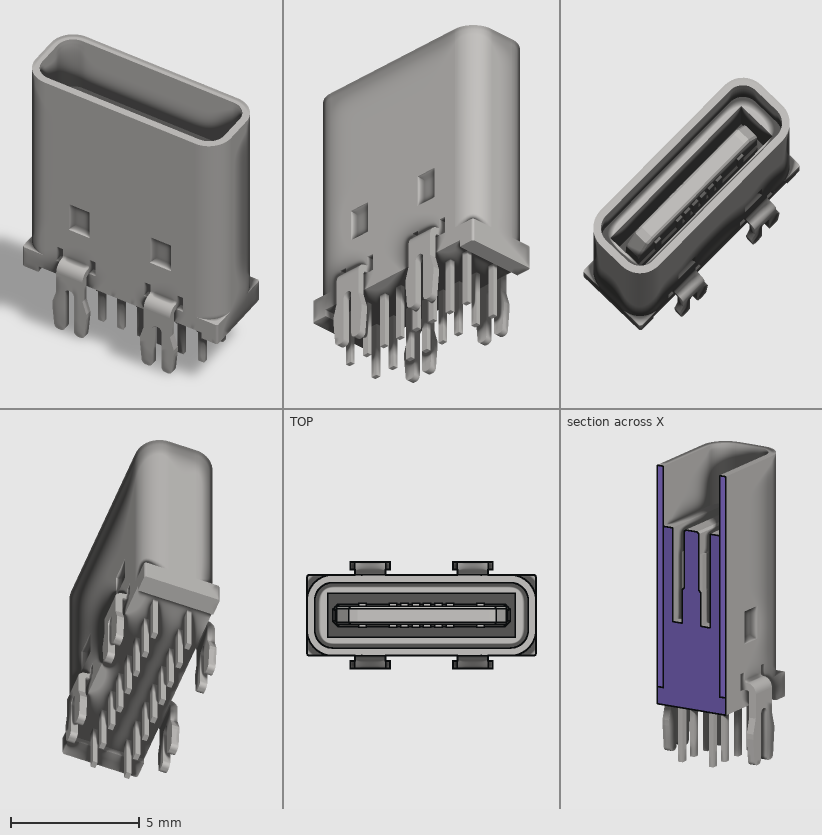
import cadquery as cq

TOTAL_HEIGHT = 12.0
LEDGE_LEVEL = 9.56
POCKET_FLOOR = 5.76
BASE_TOP = 3.0
BASE_UNDERSIDE = 2.3
FOOT_BOTTOM = 2.02

SHELL_LENGTH = 8.94
SHELL_WIDTH = 3.15
SHELL_CORNER = 1.01
SHEET = 0.3

DIMPLE_X = 1.86
DIMPLE_Z = 5.52
DIMPLE_LENGTH = 0.95
DIMPLE_HEIGHT = 1.33
DIMPLE_DEPTH = 0.19

LEG_X = 2.0
LEG_WIDTH = 1.2
LEG_SPAN = 4.16
LEG_TOP = BASE_TOP + SHEET
INNER_BEND = (LEG_SPAN - SHELL_WIDTH - 2 * SHEET) / 4
OUTER_BEND = INNER_BEND + SHEET
BARB_WIDTH = 1.56
BARB_START = 1.91
BARB_TOP = 1.31
BARB_BOTTOM = 1.09
TIP_WIDTH = 1.35
TIP_RADIUS = 0.19
SPLIT_WIDTH = 0.42
SPLIT_TOP = 2.2
RELIEF_WIDTH = 0.3
RELIEF_TOP = 3.72

BASE_CORNER = 0.1
FOOT_LENGTH = 0.73
POCKET_LENGTH = 7.32
POCKET_WIDTH = 1.72

TONGUE_LENGTH = 6.62
TONGUE_THICKNESS = 0.7
TONGUE_CHAMFER = 0.08
TONGUE_TOP = LEDGE_LEVEL
LEFT_SHALLOW_X = -2.5
LEFT_STEEP_X = -2.83
LEFT_SHALLOW_DROP = 0.08
LEFT_DROP = 1.08
RIGHT_SHALLOW_X = 2.66
RIGHT_STEEP_X = 2.92
RIGHT_SHALLOW_DROP = 0.04
RIGHT_DROP = 0.66
COLLAR_LENGTH = 6.91
COLLAR_THICKNESS = 0.88
COLLAR_CORNER = 0.2
COLLAR_TOP = 7.2
COLLAR_SLOPE = (COLLAR_THICKNESS - TONGUE_THICKNESS) / 2

INNER_CONTACTS_PER_SIDE = 3
CONTACT_PITCH = 0.45
CONTACT_WIDTH = 0.29
CONTACT_SPAN = 0.92
CONTACT_TOP = 8.64
OUTER_CONTACT_X = 2.3

PIN_OFFSETS = (0.45, 1.35, 2.3, 3.25)
PIN_ROW_Y = 0.71
PIN_WIDTH = 0.28
PIN_THICKNESS = 0.2


def block(x_size, y_size, z_low, z_high, x=0.0, y=0.0):
    """Box centred on (x, y) between two levels."""
    solid = cq.Workplane("XY").box(x_size, y_size, z_high - z_low, (True, True, False))
    return solid.translate((x, y, z_low))


def rounded_block(x_size, y_size, z_low, z_high, radius):
    """Block with rounded vertical edges."""
    return block(x_size, y_size, z_low, z_high).edges("|Z").fillet(radius)


def cavity(z_low, z_high):
    """Space inside the shell wall."""
    length = SHELL_LENGTH - 2 * SHEET
    width = SHELL_WIDTH - 2 * SHEET
    return rounded_block(length, width, z_low, z_high, SHELL_CORNER - SHEET)


def leg():
    """Split, barbed leg on the -Y side at X = 0, curving out of the wall and then down."""
    outer_y = -LEG_SPAN / 2
    wall_y = -SHELL_WIDTH / 2
    root_y = wall_y + SHEET / 2
    strip = (
        cq.Workplane("YZ")
        .moveTo(root_y, LEG_TOP + INNER_BEND)
        .lineTo(wall_y, LEG_TOP + INNER_BEND)
        .radiusArc((wall_y - INNER_BEND, LEG_TOP), INNER_BEND)
        .radiusArc((outer_y, LEG_TOP - OUTER_BEND), -OUTER_BEND)
        .lineTo(outer_y, 0)
        .lineTo(outer_y + SHEET, 0)
        .lineTo(outer_y + SHEET, LEG_TOP - OUTER_BEND)
        .radiusArc((outer_y + OUTER_BEND, LEG_TOP - SHEET), INNER_BEND)
        .lineTo(root_y, LEG_TOP - SHEET)
        .close()
        .extrude(BARB_WIDTH / 2, both=True)
    )
    split_radius = SPLIT_WIDTH / 2
    outline = (
        cq.Workplane("XZ")
        .moveTo(-LEG_WIDTH / 2, RELIEF_TOP)
        .lineTo(-LEG_WIDTH / 2, BARB_START)
        .lineTo(-BARB_WIDTH / 2, BARB_TOP)
        .lineTo(-BARB_WIDTH / 2, BARB_BOTTOM)
        .lineTo(-TIP_WIDTH / 2, 0)
        .lineTo(-split_radius, 0)
        .lineTo(-split_radius, SPLIT_TOP - split_radius)
        .threePointArc((0, SPLIT_TOP), (split_radius, SPLIT_TOP - split_radius))
        .lineTo(split_radius, 0)
        .lineTo(TIP_WIDTH / 2, 0)
        .lineTo(BARB_WIDTH / 2, BARB_BOTTOM)
        .lineTo(BARB_WIDTH / 2, BARB_TOP)
        .lineTo(LEG_WIDTH / 2, BARB_START)
        .lineTo(LEG_WIDTH / 2, RELIEF_TOP)
        .close()
        .extrude(LEG_SPAN)
        .faces("<Z")
        .edges("|Y")
        .fillet(TIP_RADIUS)
    )
    return strip.intersect(outline)


def reliefs():
    """Slots through the -Y wall on both sides of a leg at X = 0."""
    offset = (LEG_WIDTH + RELIEF_WIDTH) / 2
    wall_y = (SHEET - SHELL_WIDTH) / 2
    left = block(RELIEF_WIDTH, SHEET, BASE_TOP, RELIEF_TOP, -offset, wall_y)
    right = block(RELIEF_WIDTH, SHEET, BASE_TOP, RELIEF_TOP, offset, wall_y)
    return left.union(right)


def dimple():
    """Blind recess in the -Y wall at X = 0, with rounded floor edges."""
    reach = 2 * DIMPLE_DEPTH
    floor_y = -SHELL_WIDTH / 2 + DIMPLE_DEPTH
    return (
        cq.Workplane("XY")
        .box(DIMPLE_LENGTH, reach, DIMPLE_HEIGHT)
        .faces(">Y")
        .edges()
        .fillet(DIMPLE_DEPTH)
        .translate((0, floor_y - reach / 2, DIMPLE_Z))
    )


def on_both_walls(shape, x):
    """Copies of a -Y wall feature at -x and x, repeated on the +Y wall."""
    pair = shape.translate((-x, 0, 0)).union(shape.translate((x, 0, 0)))
    return pair.union(pair.mirror("XZ"))


def make_shell():
    """Sheet-metal tube with dimples, relief slots and four legs."""
    tube = rounded_block(SHELL_LENGTH, SHELL_WIDTH, BASE_TOP, TOTAL_HEIGHT, SHELL_CORNER)
    tube = tube.cut(cavity(BASE_TOP, TOTAL_HEIGHT))
    tube = tube.cut(on_both_walls(dimple(), DIMPLE_X))
    tube = tube.cut(on_both_walls(reliefs(), LEG_X))
    tube = tube.union(on_both_walls(leg(), LEG_X))
    return tube.solids()


def base():
    """Rectangular base with a foot across each end."""
    plate = rounded_block(SHELL_LENGTH, SHELL_WIDTH, FOOT_BOTTOM, BASE_TOP, BASE_CORNER)
    return plate.cut(block(SHELL_LENGTH - 2 * FOOT_LENGTH, SHELL_WIDTH, FOOT_BOTTOM, BASE_UNDERSIDE))


def tongue():
    """Flat tongue whose tip falls away at both ends in two slopes."""
    half_length = TONGUE_LENGTH / 2
    blade = (
        cq.Workplane("XZ")
        .moveTo(half_length, POCKET_FLOOR)
        .lineTo(-half_length, POCKET_FLOOR)
        .lineTo(-half_length, TONGUE_TOP - LEFT_DROP)
        .lineTo(LEFT_STEEP_X, TONGUE_TOP - LEFT_SHALLOW_DROP)
        .lineTo(LEFT_SHALLOW_X, TONGUE_TOP)
        .lineTo(RIGHT_SHALLOW_X, TONGUE_TOP)
        .lineTo(RIGHT_STEEP_X, TONGUE_TOP - RIGHT_SHALLOW_DROP)
        .lineTo(half_length, TONGUE_TOP - RIGHT_DROP)
        .close()
        .extrude(TONGUE_THICKNESS / 2, both=True)
    )
    tip_faces = blade.faces("not(<Z or |X or |Y)")
    return tip_faces.edges("not |Y").chamfer(TONGUE_CHAMFER)


def collar():
    """Thicker root of the tongue with a sloped rim and cut corners."""
    return (
        block(COLLAR_LENGTH, COLLAR_THICKNESS, POCKET_FLOOR, COLLAR_TOP)
        .edges("|Z")
        .chamfer(COLLAR_CORNER)
        .faces(">Z")
        .chamfer(COLLAR_SLOPE)
    )


def contacts():
    """Contact strips standing out from both faces of the tongue."""
    inner = [CONTACT_PITCH * (i + 0.5) for i in range(INNER_CONTACTS_PER_SIDE)]
    strips = cq.Workplane("XY")
    for x in inner + [OUTER_CONTACT_X]:
        for side in (-1, 1):
            strips = strips.union(block(CONTACT_WIDTH, CONTACT_SPAN, POCKET_FLOOR, CONTACT_TOP, side * x))
    return strips


def pins():
    """Two rows of straight solder pins."""
    strips = cq.Workplane("XY")
    for offset in PIN_OFFSETS:
        for x in (-offset, offset):
            for y in (-PIN_ROW_Y, PIN_ROW_Y):
                strips = strips.union(block(PIN_WIDTH, PIN_THICKNESS, 0, BASE_UNDERSIDE, x, y))
    return strips


def make_insulator():
    """Base, core filling the shell up to the ledge, pocket, tongue, contacts and pins."""
    body = base().union(cavity(BASE_TOP, LEDGE_LEVEL))
    body = body.cut(block(POCKET_LENGTH, POCKET_WIDTH, POCKET_FLOOR, LEDGE_LEVEL))
    body = body.union(tongue()).union(collar()).union(contacts())
    return body.union(pins()).solids()


shell = make_shell()
insulator = make_insulator()
result = cq.Compound.makeCompound([shell.val(), insulator.val()])